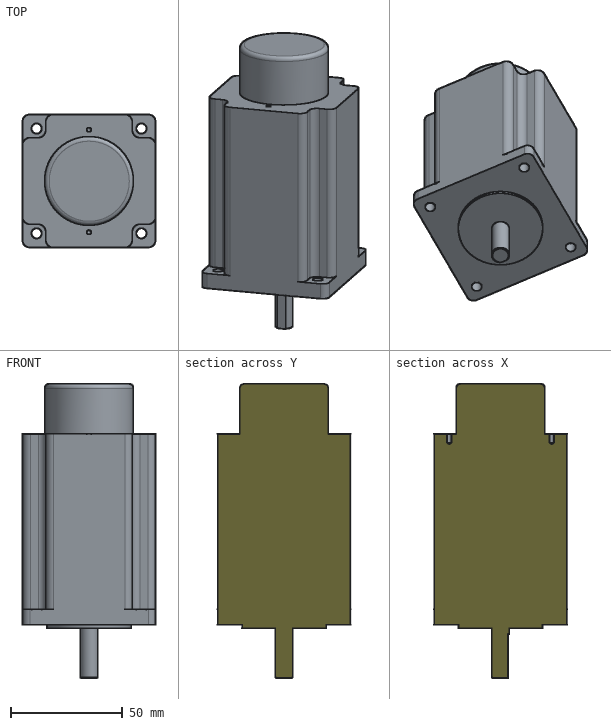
import cadquery as cq
import math

side = 60.0
shaft_length = 22.4
pilot_height = 1.6
flange_height = 7.0
body_height = 79.0
cap_height = 22.5

flange_corner_radius = 3.2
mount_hole_diameter = 4.5
mount_hole_offset = 23.6

notch_size = 10.5
notch_radius = 3.5
small_hole_diameter = 2.0
small_hole_offset = 23.1
small_hole_depth = 4.0
small_hole_tip_angle = 118.0

cap_diameter = 40.0
cap_fillet = 2.0
pilot_diameter = 38.0
shaft_diameter = 8.0
shaft_chamfer = 0.4
flat_offset = 3.5
flat_length = 19.9

pilot_bottom = shaft_length
flange_bottom = pilot_bottom + pilot_height
body_bottom = flange_bottom + flange_height
body_top = body_bottom + body_height


def cylinder(diameter, height, bottom):
    return cq.Workplane("XY").workplane(offset=bottom).circle(diameter / 2).extrude(height)


def drilled_hole():
    radius = small_hole_diameter / 2
    tip_depth = radius / math.tan(math.radians(small_hole_tip_angle / 2))
    return (
        cq.Workplane("XZ")
        .moveTo(0, body_top)
        .lineTo(radius, body_top)
        .lineTo(radius, body_top - small_hole_depth)
        .lineTo(0, body_top - small_hole_depth - tip_depth)
        .close()
        .revolve(360, (0, 0, 0), (0, 1, 0))
    )


def make_flange():
    flange = (
        cq.Workplane("XY")
        .workplane(offset=flange_bottom)
        .rect(side, side)
        .extrude(flange_height)
        .edges("|Z")
        .fillet(flange_corner_radius)
    )
    holes = (
        cq.Workplane("XY")
        .workplane(offset=flange_bottom)
        .rect(2 * mount_hole_offset, 2 * mount_hole_offset, forConstruction=True)
        .vertices()
        .circle(mount_hole_diameter / 2)
        .extrude(flange_height)
    )
    return flange.cut(holes)


def make_body():
    arm_width = side - 2 * notch_size
    plane = cq.Workplane("XY").workplane(offset=body_bottom)
    body = (
        plane.rect(side, arm_width)
        .extrude(body_height)
        .union(plane.rect(arm_width, side).extrude(body_height))
        .edges("|Z")
        .fillet(notch_radius)
    )
    for y in (-small_hole_offset, small_hole_offset):
        body = body.cut(drilled_hole().translate((0, y, 0)))
    return body


def make_cap():
    return cylinder(cap_diameter, cap_height, body_top).faces(">Z").edges().fillet(cap_fillet)


def make_shaft():
    shaft = cylinder(shaft_diameter, shaft_length, 0).faces("<Z").edges().chamfer(shaft_chamfer)
    flat_cut = (
        cq.Workplane("XY")
        .box(shaft_diameter, shaft_diameter, flat_length, centered=(True, False, False))
        .translate((0, flat_offset, 0))
    )
    return shaft.cut(flat_cut)


pilot = cylinder(pilot_diameter, pilot_height, pilot_bottom)
result = make_flange().union(make_body()).union(make_cap()).union(pilot).union(make_shaft())